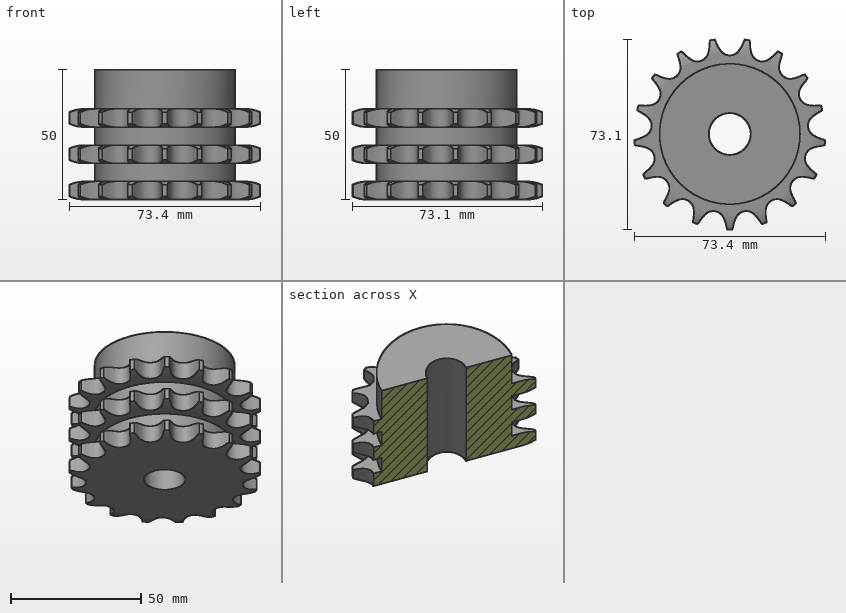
import cadquery as cq
import math

TEETH = 17
PITCH = 12.7
ROLLER_DIAMETER = 8.51
TIP_DIAMETER = 73.6
ROWS = 3
ROW_SPACING = 13.95
TOOTH_WIDTH = 7.0

RELIEF_RADIUS = 13.0
RELIEF_DEPTH = 1.3

HUB_DIAMETER = 54.0
BORE_DIAMETER = 16.0
TOTAL_HEIGHT = 50.0

FIRST_TOOTH_ANGLE = -90.0

TOOTH_STEP = 2 * math.pi / TEETH
PITCH_RADIUS = PITCH / 2 / math.sin(TOOTH_STEP / 2)
TIP_RADIUS = TIP_DIAMETER / 2
CUTTER_RADIUS = TIP_RADIUS + 10.0

FORM_CLEARANCE = 0.0381
SEAT_RADIUS = 0.5025 * ROLLER_DIAMETER + FORM_CLEARANCE
SEAT_ANGLE = math.radians(35 + 60 / TEETH)
WORKING_SPAN = math.radians(18 - 56 / TEETH)
WORKING_OFFSET = 0.8 * ROLLER_DIAMETER
WORKING_RADIUS = WORKING_OFFSET + SEAT_RADIUS
TOPPING_OFFSET = 1.4 * ROLLER_DIAMETER
TOPPING_RADIUS = (
    WORKING_OFFSET * math.cos(WORKING_SPAN)
    + TOPPING_OFFSET * math.cos(math.radians(17 - 64 / TEETH))
    - WORKING_RADIUS
)


def polar(radius, angle, centre=(0.0, 0.0)):
    """Point at a radius and angle (radians) from a centre."""
    return (centre[0] + radius * math.cos(angle), centre[1] + radius * math.sin(angle))


def topping_tip_angle(centre):
    """Angle about the topping centre at which the topping arc meets the tip circle."""
    distance = math.hypot(*centre)
    cosine = (TIP_RADIUS**2 - distance**2 - TOPPING_RADIUS**2) / (2 * distance * TOPPING_RADIUS)
    return math.atan2(centre[1], centre[0]) + math.acos(cosine)


def half_gap_points():
    """Points from the gap root to the +X tooth tip, for a gap centred on +Y."""
    roller_centre = (0.0, PITCH_RADIUS)
    working_centre = polar(WORKING_OFFSET, math.pi - SEAT_ANGLE, roller_centre)
    topping_centre = polar(TOPPING_OFFSET, -TOOTH_STEP / 2, roller_centre)

    working_end = WORKING_SPAN - SEAT_ANGLE
    topping_start = working_end + math.pi
    topping_end = topping_tip_angle(topping_centre)
    return {
        "root": polar(SEAT_RADIUS, -math.pi / 2, roller_centre),
        "seat_end": polar(SEAT_RADIUS, -SEAT_ANGLE, roller_centre),
        "working_mid": polar(WORKING_RADIUS, -SEAT_ANGLE + WORKING_SPAN / 2, working_centre),
        "working_end": polar(WORKING_RADIUS, working_end, working_centre),
        "topping_start": polar(TOPPING_RADIUS, topping_start, topping_centre),
        "topping_mid": polar(TOPPING_RADIUS, (topping_start + topping_end) / 2, topping_centre),
        "tip": polar(TOPPING_RADIUS, topping_end, topping_centre),
    }


def make_gap_cutter():
    """Prism through the full row width that clears one gap, centred on +Y."""
    right = half_gap_points()
    left = {name: (-x, y) for name, (x, y) in right.items()}
    outer_right = polar(CUTTER_RADIUS, math.atan2(right["tip"][1], right["tip"][0]))
    outer_left = (-outer_right[0], outer_right[1])
    return (
        cq.Workplane("XY")
        .moveTo(*outer_left)
        .lineTo(*left["tip"])
        .threePointArc(left["topping_mid"], left["topping_start"])
        .lineTo(*left["working_end"])
        .threePointArc(left["working_mid"], left["seat_end"])
        .threePointArc(right["root"], right["seat_end"])
        .threePointArc(right["working_mid"], right["working_end"])
        .lineTo(*right["topping_start"])
        .threePointArc(right["topping_mid"], right["tip"])
        .lineTo(*outer_right)
        .close()
        .extrude(TOOTH_WIDTH)
    )


def make_row_blank():
    """Disc with rounded relief on both faces, revolved about Z."""
    relief_run = math.sqrt(RELIEF_RADIUS**2 - (RELIEF_RADIUS - RELIEF_DEPTH) ** 2)
    relief_start = TIP_RADIUS - relief_run
    mid_angle = math.asin(relief_run / RELIEF_RADIUS) / 2
    mid_radius = relief_start + RELIEF_RADIUS * math.sin(mid_angle)
    mid_depth = RELIEF_RADIUS * (1 - math.cos(mid_angle))
    return (
        cq.Workplane("XZ")
        .moveTo(0, 0)
        .lineTo(relief_start, 0)
        .threePointArc((mid_radius, mid_depth), (TIP_RADIUS, RELIEF_DEPTH))
        .lineTo(TIP_RADIUS, TOOTH_WIDTH - RELIEF_DEPTH)
        .threePointArc((mid_radius, TOOTH_WIDTH - mid_depth), (relief_start, TOOTH_WIDTH))
        .lineTo(0, TOOTH_WIDTH)
        .close()
        .revolve(360, (0, 0), (0, 1))
    )


def make_tooth_row():
    """One row of teeth sitting on Z = 0."""
    cutter = make_gap_cutter().val()
    step_degrees = math.degrees(TOOTH_STEP)
    first_turn = FIRST_TOOTH_ANGLE + step_degrees / 2 - 90
    gaps = [
        cutter.rotate(cq.Vector(0, 0, 0), cq.Vector(0, 0, 1), first_turn + index * step_degrees)
        for index in range(TEETH)
    ]
    return make_row_blank().cut(cq.Workplane(obj=cq.Compound.makeCompound(gaps)))


def make_sprocket():
    """Hub carrying all tooth rows, with a plain bore through everything."""
    sprocket = cq.Workplane("XY").circle(HUB_DIAMETER / 2).extrude(TOTAL_HEIGHT)
    tooth_row = make_tooth_row()
    for index in range(ROWS):
        sprocket = sprocket.union(tooth_row.translate((0, 0, index * ROW_SPACING)))
    bore = cq.Workplane("XY").circle(BORE_DIAMETER / 2).extrude(TOTAL_HEIGHT)
    return sprocket.cut(bore)


result = make_sprocket()